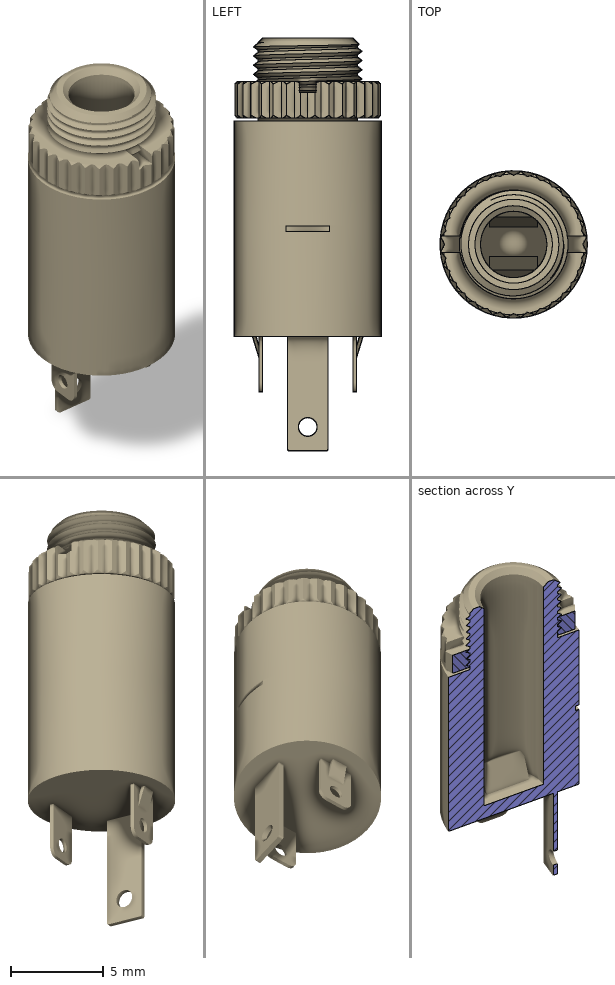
import cadquery as cq
import math

SEAM_Z = 6.0
HOUSING_TOP = 11.7
NUT_GAP = 0.15
NUT_BOTTOM = HOUSING_TOP + NUT_GAP
NUT_HEIGHT = 2.0
NUT_TOP = NUT_BOTTOM + NUT_HEIGHT
JACK_TOP = 16.2

HOUSING_DIAMETER = 8.0
NECK_DIAMETER = 5.4
NECK_CHAMFER_TOP_DIAMETER = 4.9
NECK_CHAMFER = 0.5

BORE_DIAMETER = 3.6
BORE_FLOOR_Z = 1.0
BORE_CHAMFER = 0.3

SPRING_WIDTH = 2.6
SPRING_OUTER_DROP = 0.3
FRONT_SPRING_FOOT = 0.65
FRONT_SPRING_CREST = 1.4
FRONT_SPRING_HEIGHT = 1.6
BACK_SPRING_FOOT = 0.95
BACK_SPRING_CREST = 1.5
BACK_SPRING_HEIGHT = 0.7

THREAD_DIAMETER = 5.9
THREAD_PITCH = 0.5
THREAD_ROOT_WIDTH = 0.45
THREAD_EMBED = 0.05
THREAD_START_Z = 12.1
THREAD_TURNS = 8

RECESS_WIDTH = 2.35
RECESS_HEIGHT = 0.3
RECESS_FLOOR_X = -3.8

TERMINAL_WIDTH = 2.0
TERMINAL_LENGTH = 3.0
TERMINAL_THICKNESS = 0.2
TERMINAL_OUTER_Y = 2.65
TERMINAL_CORNER_RADIUS = 0.5
TERMINAL_HOLE_DIAMETER = 0.8
TERMINAL_HOLE_Z = -2.1

BARB_TOP_WIDTH = 0.9
BARB_BOTTOM_WIDTH = 1.0
BARB_LENGTH = 1.15
BARB_REACH = 0.35

SLEEVE_WIDTH = 2.2
SLEEVE_LENGTH = 6.2
SLEEVE_THICKNESS = 0.3
SLEEVE_OUTER_X = -2.7
SLEEVE_CORNER_RADIUS = 0.1
SLEEVE_HOLE_DIAMETER = 1.0
SLEEVE_HOLE_Z = -4.9

NUT_DIAMETER = 7.94
KNURL_COUNT = 32
KNURL_ROOT_RADIUS = 3.75
NUT_EDGE_CHAMFER = 0.15
NUT_SLOT_WIDTH = 0.9
NUT_SLOT_DEPTH = 0.6


def make_housing():
    rear = cq.Workplane("XY").circle(HOUSING_DIAMETER / 2).extrude(SEAM_Z)
    recess = (
        cq.Workplane("XY")
        .box(HOUSING_DIAMETER, RECESS_WIDTH, RECESS_HEIGHT, centered=(False, True, False))
        .translate((RECESS_FLOOR_X - HOUSING_DIAMETER, 0, SEAM_Z - RECESS_HEIGHT))
    )
    front = (
        cq.Workplane("XY", origin=(0, 0, SEAM_Z))
        .circle(HOUSING_DIAMETER / 2)
        .extrude(HOUSING_TOP - SEAM_Z)
    )
    return rear.cut(recess).union(front, clean=False)


def make_thread():
    root_radius = NECK_DIAMETER / 2 - THREAD_EMBED
    helix = cq.Wire.makeHelix(
        THREAD_PITCH, THREAD_PITCH * THREAD_TURNS, root_radius, center=cq.Vector(0, 0, THREAD_START_Z)
    )
    half_root = THREAD_ROOT_WIDTH / 2
    return (
        cq.Workplane("XZ")
        .moveTo(root_radius, THREAD_START_Z - half_root)
        .lineTo(THREAD_DIAMETER / 2, THREAD_START_Z)
        .lineTo(root_radius, THREAD_START_Z + half_root)
        .close()
        .sweep(cq.Workplane(obj=helix), isFrenet=True)
    )


def make_threaded_neck():
    neck = (
        cq.Workplane("XY", origin=(0, 0, HOUSING_TOP))
        .circle(NECK_DIAMETER / 2)
        .extrude(JACK_TOP - HOUSING_TOP)
    )
    envelope = (
        cq.Workplane("XY", origin=(0, 0, HOUSING_TOP))
        .circle(NECK_CHAMFER_TOP_DIAMETER / 2 + NECK_CHAMFER)
        .extrude(JACK_TOP - HOUSING_TOP)
        .faces(">Z")
        .chamfer(NECK_CHAMFER)
    )
    return neck.union(make_thread()).intersect(envelope)


def make_bore():
    radius = BORE_DIAMETER / 2
    return (
        cq.Workplane("XZ")
        .moveTo(0, BORE_FLOOR_Z)
        .lineTo(radius, BORE_FLOOR_Z)
        .lineTo(radius, JACK_TOP - BORE_CHAMFER)
        .lineTo(radius + BORE_CHAMFER, JACK_TOP)
        .lineTo(0, JACK_TOP)
        .close()
        .revolve(360, (0, 0), (0, 1))
    )


def make_spring(side, foot, crest, height):
    """Contact spring on the bore floor; side is -1 at the front and 1 at the back."""
    wall = BORE_DIAMETER / 2
    crest_z = BORE_FLOOR_Z + height
    return (
        cq.Workplane("YZ", origin=(-SPRING_WIDTH / 2, 0, 0))
        .moveTo(side * foot, BORE_FLOOR_Z)
        .lineTo(side * crest, crest_z)
        .lineTo(side * wall, crest_z - SPRING_OUTER_DROP)
        .lineTo(side * wall, BORE_FLOOR_Z)
        .close()
        .extrude(SPRING_WIDTH)
    )


def make_barb(side):
    inner_y = TERMINAL_OUTER_Y - TERMINAL_THICKNESS
    profile = (
        cq.Workplane("YZ", origin=(-BARB_BOTTOM_WIDTH / 2, 0, 0))
        .moveTo(side * TERMINAL_OUTER_Y, -BARB_LENGTH)
        .lineTo(side * (TERMINAL_OUTER_Y + BARB_REACH), 0)
        .lineTo(side * (inner_y + BARB_REACH), 0)
        .lineTo(side * inner_y, -BARB_LENGTH)
        .close()
        .extrude(BARB_BOTTOM_WIDTH)
    )
    outline = (
        cq.Workplane("XZ")
        .moveTo(-BARB_BOTTOM_WIDTH / 2, -BARB_LENGTH)
        .lineTo(BARB_BOTTOM_WIDTH / 2, -BARB_LENGTH)
        .lineTo(BARB_TOP_WIDTH / 2, 0)
        .lineTo(-BARB_TOP_WIDTH / 2, 0)
        .close()
        .extrude(HOUSING_DIAMETER / 2, both=True)
    )
    return profile.intersect(outline)


def make_solder_terminal(side):
    plate = (
        cq.Workplane("XY")
        .box(TERMINAL_WIDTH, TERMINAL_THICKNESS, TERMINAL_LENGTH)
        .edges("|Y and <Z")
        .fillet(TERMINAL_CORNER_RADIUS)
        .translate((0, side * (TERMINAL_OUTER_Y - TERMINAL_THICKNESS / 2), -TERMINAL_LENGTH / 2))
    )
    hole = (
        cq.Workplane("XZ")
        .center(0, TERMINAL_HOLE_Z)
        .circle(TERMINAL_HOLE_DIAMETER / 2)
        .extrude(HOUSING_DIAMETER / 2, both=True)
    )
    return plate.cut(hole).union(make_barb(side))


def make_sleeve_terminal():
    plate = (
        cq.Workplane("XY")
        .box(SLEEVE_THICKNESS, SLEEVE_WIDTH, SLEEVE_LENGTH)
        .edges("|X and <Z")
        .fillet(SLEEVE_CORNER_RADIUS)
        .translate((SLEEVE_OUTER_X + SLEEVE_THICKNESS / 2, 0, -SLEEVE_LENGTH / 2))
    )
    hole = (
        cq.Workplane("YZ")
        .center(0, SLEEVE_HOLE_Z)
        .circle(SLEEVE_HOLE_DIAMETER / 2)
        .extrude(HOUSING_DIAMETER / 2, both=True)
    )
    return plate.cut(hole)


def make_jack(threaded_neck):
    jack = make_housing().union(threaded_neck, clean=False).cut(make_bore(), clean=False)
    front_spring = make_spring(-1, FRONT_SPRING_FOOT, FRONT_SPRING_CREST, FRONT_SPRING_HEIGHT)
    back_spring = make_spring(1, BACK_SPRING_FOOT, BACK_SPRING_CREST, BACK_SPRING_HEIGHT)
    jack = jack.union(front_spring, clean=False).union(back_spring, clean=False)
    for side in (-1, 1):
        jack = jack.union(make_solder_terminal(side), clean=False)
    return jack.union(make_sleeve_terminal(), clean=False)


def make_nut(threaded_neck):
    outline = []
    for corner in range(2 * KNURL_COUNT):
        radius = KNURL_ROOT_RADIUS if corner % 2 == 0 else NUT_DIAMETER / 2
        angle = math.pi * corner / KNURL_COUNT
        outline.append((radius * math.cos(angle), radius * math.sin(angle)))
    knurl = cq.Workplane("XY", origin=(0, 0, NUT_BOTTOM)).polyline(outline).close().extrude(NUT_HEIGHT)

    blank = (
        cq.Workplane("XY", origin=(0, 0, NUT_BOTTOM))
        .circle(NUT_DIAMETER / 2)
        .extrude(NUT_HEIGHT)
        .edges()
        .chamfer(NUT_EDGE_CHAMFER)
    )
    slot = (
        cq.Workplane("XY")
        .box(HOUSING_DIAMETER, NUT_SLOT_WIDTH, NUT_SLOT_DEPTH)
        .translate((0, 0, NUT_TOP - NUT_SLOT_DEPTH / 2))
    )
    return knurl.intersect(blank).cut(slot).cut(threaded_neck)


threaded_neck = make_threaded_neck()
jack = make_jack(threaded_neck)
nut = make_nut(threaded_neck)

result = cq.Compound.makeCompound([jack.solids().val(), nut.solids().val()])